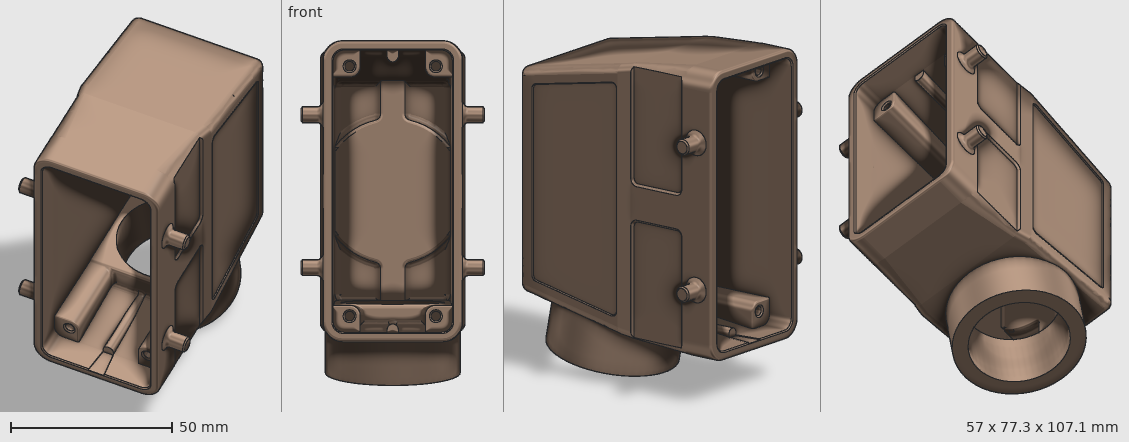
import cadquery as cq
import math


BEND_Y = 10.9
WINDOW_END_Y = 32.15
FLARE_END_Y = 36.5
BACK_Y = 75.9
ENTRY_ANGLE = 11.0
SLOPE = math.tan(math.radians(ENTRY_ANGLE))

COLLAR_HALF_WIDTH = 21.6
BODY_HALF_WIDTH = 22.5
COLLAR_HALF_HEIGHT = 46.75
TAPER_HALF_HEIGHT = 44.5
COLLAR_RADIUS = 6.0
BODY_RADIUS = 2.75
BACK_EDGE_RADIUS = 2.6
RIM_RADIUS = 1.0

PLANE_TOLERANCE = 0.1

MOUTH_HALF_WIDTH = 18.5
FLOOR_HALF_WIDTH = 17.9
MOUTH_HALF_HEIGHT = 43.8
CAVITY_BEND_Y = 9.0
CAVITY_BEND_HALF_HEIGHT = 41.7
CAVITY_CORNER_RADIUS = 3.3
CAVITY_REAR_RADIUS = 2.0
MOUTH_CHAMFER = 0.4
FLOOR_Y = 73.0
FLOOR_FILLET = 1.8

PLATEAU_HEIGHT = 3.0
PLATEAU_RADIUS = 22.7
PLATEAU_NECK_HALF_WIDTH = 3.8
PLATEAU_NECK_RADIUS = 2.0
PLATEAU_EDGE_RADIUS = 1.0
PLATEAU_SIDE_FILLET = 1.1
PLATEAU_SIDE_HALF_LENGTH = 13.6

LEDGE_Y = 34.0
LEDGE_FRONT_Z = -35.2
LEDGE_REAR_Z = -33.8
LEDGE_FILLET = 1.3
LEDGE_FOOT_FILLET = 1.5

POST_Y = 9.0
POST_INNER_X = 10.1
POST_INNER_Z = 35.5
POST_RADIUS = 3.0
POST_EDGE_RADIUS = 0.6
SCREW_X = 13.4
SCREW_Z = 38.8
SCREW_DIAMETER = 3.0
SCREW_COUNTERSINK_DIAMETER = 4.0
SCREW_DEPTH = 12.0
RIB_Y = 9.0
RIB_RADIUS = 1.75
TOP_RIB_CENTRE_Z = 41.9
BOTTOM_RIB_CENTRE_Z = -43.0

NOTCH_MOUTH_HALF_WIDTH = 2.7
NOTCH_DEPTH = 0.3

ENTRY_DIAMETER = 42.0
ENTRY_BORE_DIAMETER = 32.0
ENTRY_END_Y = 56.7
ENTRY_END_Z = -56.36
ENTRY_LENGTH = 20.0
ENTRY_BORE_LENGTH = 26.0

PIN_TIP_X = 28.5
PIN_Y = 6.2
PIN_Z = 23.75
PIN_RADIUS = 2.5
PIN_SHOULDER_X = 23.45
PIN_CONE_X = 22.2
PIN_CONE_RADIUS = 3.2
PIN_FOOT_RADIUS = 4.1
PIN_CHAMFER = 0.5
PIN_ROOT_X = 20.0

WINDOW_FRONT_Y = 11.8
WINDOW_LOW_Z = 5.4
WINDOW_HIGH_Z = 43.9
WINDOW_DEPTH = 0.8
WINDOW_BEVEL = 0.76
WINDOW_RADIUS = 2.4
PANEL_FRONT_Y = 37.1
PANEL_BACK_Y = 70.75
PANEL_MARGIN = 5.4
PANEL_DEPTH = 0.4
PANEL_BEVEL = 0.35
PANEL_RADIUS = 1.8


def rear_half_height(y):
    """Outer half height of the sloped rear body."""
    return TAPER_HALF_HEIGHT - (y - WINDOW_END_Y) * SLOPE


def cavity_half_width(y):
    """Half width of the cavity behind its own bend, narrowing slightly towards the floor."""
    depth_share = (y - CAVITY_BEND_Y) / (FLOOR_Y - CAVITY_BEND_Y)
    return MOUTH_HALF_WIDTH - (MOUTH_HALF_WIDTH - FLOOR_HALF_WIDTH) * depth_share


def section_loft(stations):
    """Straight-sided loft through rounded rectangles (y, half width, half height, radius)."""
    sketches = []
    for y, half_width, half_height, radius in stations:
        section = cq.Sketch().rect(2 * half_width, 2 * half_height).vertices().fillet(radius)
        sketches.append(section.moved(cq.Location(cq.Vector(0, 0, -y))))
    return cq.Workplane("XZ").placeSketch(*sketches).loft(ruled=True)


def make_shell():
    shell = section_loft([
        (0, COLLAR_HALF_WIDTH, COLLAR_HALF_HEIGHT, COLLAR_RADIUS),
        (BEND_Y, COLLAR_HALF_WIDTH, COLLAR_HALF_HEIGHT, COLLAR_RADIUS),
        (WINDOW_END_Y, COLLAR_HALF_WIDTH, TAPER_HALF_HEIGHT, BODY_RADIUS),
        (FLARE_END_Y, BODY_HALF_WIDTH, rear_half_height(FLARE_END_Y), BODY_RADIUS),
        (BACK_Y, BODY_HALF_WIDTH, rear_half_height(BACK_Y), BODY_RADIUS),
    ])
    shell = shell.faces(">Y").edges().fillet(BACK_EDGE_RADIUS)
    return shell.faces("<Y").edges().fillet(RIM_RADIUS)


def make_plateau():
    """Disc with a neck towards each end wall, standing on the cavity floor."""
    top_y = FLOOR_Y - PLATEAU_HEIGHT
    disc = cq.Workplane("XZ", origin=(0, top_y, 0)).circle(PLATEAU_RADIUS).extrude(-2 * PLATEAU_HEIGHT)
    neck = (
        cq.Workplane("XZ", origin=(0, top_y, 0))
        .rect(2 * PLATEAU_NECK_HALF_WIDTH, 2 * COLLAR_HALF_HEIGHT)
        .extrude(-2 * PLATEAU_HEIGHT)
    )
    plateau = disc.union(neck)
    plateau = plateau.edges(cq.selectors.BoxSelector(
        (-2 * PLATEAU_NECK_HALF_WIDTH, 0, -PLATEAU_RADIUS - 1),
        (2 * PLATEAU_NECK_HALF_WIDTH, 2 * BACK_Y, PLATEAU_RADIUS + 1),
    )).edges("|Y").fillet(PLATEAU_NECK_RADIUS)
    plateau = plateau.faces("<Y").edges().fillet(PLATEAU_EDGE_RADIUS)
    slab = (
        cq.Workplane("XZ", origin=(0, FLOOR_Y, 0))
        .rect(4 * COLLAR_HALF_WIDTH, 2 * COLLAR_HALF_HEIGHT)
        .extrude(-PLATEAU_HEIGHT)
    )
    foot_edges = cq.selectors.BoxSelector(
        (-PLATEAU_RADIUS - 1, FLOOR_Y - PLANE_TOLERANCE, -COLLAR_HALF_HEIGHT + 1),
        (PLATEAU_RADIUS + 1, FLOOR_Y + PLANE_TOLERANCE, COLLAR_HALF_HEIGHT - 1),
        boundingbox=False,
    )
    return plateau.union(slab).edges(foot_edges).fillet(FLOOR_FILLET)


def make_side_fillet():
    """Hollow fillet strip between the plateau top and the +X wall of the cavity."""
    top_y = FLOOR_Y - PLATEAU_HEIGHT
    wall_x = cavity_half_width(top_y)
    radius = PLATEAU_SIDE_FILLET
    arc_offset = radius * (1 - math.sqrt(0.5))
    return (
        cq.Workplane("XY")
        .moveTo(wall_x - radius, top_y)
        .threePointArc((wall_x - arc_offset, top_y - arc_offset), (wall_x, top_y - radius))
        .lineTo(COLLAR_HALF_WIDTH, top_y - radius)
        .lineTo(COLLAR_HALF_WIDTH, top_y)
        .close()
        .extrude(PLATEAU_SIDE_HALF_LENGTH, both=True)
    )


def make_ledge():
    """Step across the bottom of the cavity, its top rising slightly towards the back."""
    ledge = (
        cq.Workplane("YZ")
        .moveTo(LEDGE_Y, -COLLAR_HALF_HEIGHT)
        .lineTo(LEDGE_Y, LEDGE_FRONT_Z)
        .lineTo(FLOOR_Y, LEDGE_REAR_Z)
        .lineTo(BACK_Y, LEDGE_REAR_Z)
        .lineTo(BACK_Y, -COLLAR_HALF_HEIGHT)
        .close()
        .extrude(COLLAR_HALF_WIDTH, both=True)
    )
    return ledge.edges("|X").edges("<Y").edges(">Z").fillet(LEDGE_FILLET)


def make_post(side_x, side_z):
    width = COLLAR_HALF_WIDTH - POST_INNER_X
    height = COLLAR_HALF_HEIGHT - POST_INNER_Z
    post = (
        cq.Workplane("XZ", origin=(side_x * (POST_INNER_X + width / 2), POST_Y,
                                   side_z * (POST_INNER_Z + height / 2)))
        .rect(width, height)
        .extrude(POST_Y - BACK_Y)
    )
    inner_x = "<X" if side_x > 0 else ">X"
    inner_z = "<Z" if side_z > 0 else ">Z"
    post = post.edges("|Y").edges(inner_x).edges(inner_z).fillet(POST_RADIUS)
    return post.faces("<Y").edges().fillet(POST_EDGE_RADIUS)


def make_rib(centre_z):
    height = COLLAR_HALF_HEIGHT - abs(centre_z)
    origin = cq.Workplane("XZ", origin=(0, RIB_Y, centre_z))
    rib = origin.circle(RIB_RADIUS).extrude(RIB_Y - BACK_Y)
    web_centre = math.copysign(height / 2, centre_z)
    web = origin.center(0, web_centre).rect(2 * RIB_RADIUS, height).extrude(RIB_Y - BACK_Y)
    return rib.union(web)


def make_cavity():
    """The hollow of the hood, less everything that stands inside it."""
    bend_half_width = cavity_half_width(WINDOW_END_Y)
    rear_height = CAVITY_BEND_HALF_HEIGHT - (FLOOR_Y - WINDOW_END_Y) * SLOPE
    cavity = section_loft([
        (0, MOUTH_HALF_WIDTH, MOUTH_HALF_HEIGHT, CAVITY_CORNER_RADIUS),
        (CAVITY_BEND_Y, MOUTH_HALF_WIDTH, MOUTH_HALF_HEIGHT, CAVITY_CORNER_RADIUS),
        (WINDOW_END_Y, bend_half_width, CAVITY_BEND_HALF_HEIGHT, CAVITY_REAR_RADIUS),
        (FLOOR_Y, FLOOR_HALF_WIDTH, rear_height, CAVITY_REAR_RADIUS),
    ])
    cavity = cavity.cut(make_ledge())
    cavity = cavity.faces(">Y").edges().fillet(FLOOR_FILLET)
    cavity = cavity.cut(make_plateau())
    cavity = cavity.cut(make_rib(TOP_RIB_CENTRE_Z)).cut(make_rib(BOTTOM_RIB_CENTRE_Z))
    for side_z in (-1, 1):
        for side_x in (-1, 1):
            cavity = cavity.cut(make_post(side_x, side_z))
    ledge_foot = cq.selectors.BoxSelector(
        (-COLLAR_HALF_WIDTH, LEDGE_Y - PLANE_TOLERANCE, -COLLAR_HALF_HEIGHT),
        (COLLAR_HALF_WIDTH, LEDGE_Y + PLANE_TOLERANCE, LEDGE_FRONT_Z - LEDGE_FILLET - PLANE_TOLERANCE),
    )
    cavity = cavity.edges(ledge_foot).fillet(LEDGE_FOOT_FILLET)
    side_fillet = make_side_fillet()
    return cavity.cut(side_fillet).cut(side_fillet.mirror("YZ"))


def make_mouth_chamfer():
    outer = MOUTH_CHAMFER
    return section_loft([
        (0, MOUTH_HALF_WIDTH + outer, MOUTH_HALF_HEIGHT + outer, CAVITY_CORNER_RADIUS + outer),
        (outer, MOUTH_HALF_WIDTH, MOUTH_HALF_HEIGHT, CAVITY_CORNER_RADIUS),
    ])


def make_notch():
    """Shallow recess in the lower wall that widens from the rib to the mouth."""
    return (
        cq.Workplane("XY", origin=(0, 0, -MOUTH_HALF_HEIGHT - NOTCH_DEPTH))
        .moveTo(-NOTCH_MOUTH_HALF_WIDTH, 0)
        .lineTo(NOTCH_MOUTH_HALF_WIDTH, 0)
        .lineTo(RIB_RADIUS, RIB_Y)
        .lineTo(-RIB_RADIUS, RIB_Y)
        .close()
        .extrude(2 * NOTCH_DEPTH)
    )


def make_screw_hole(x, z):
    front = cq.Workplane("XZ", origin=(x, POST_Y, z))
    hole = front.circle(SCREW_DIAMETER / 2).extrude(-SCREW_DEPTH)
    lead_in = (SCREW_COUNTERSINK_DIAMETER - SCREW_DIAMETER) / 2
    cone = front.circle(SCREW_COUNTERSINK_DIAMETER / 2).extrude(-lead_in, taper=45)
    return hole.union(cone)


def entry_cylinder(diameter, length):
    tilt = math.radians(ENTRY_ANGLE)
    end = cq.Plane(
        origin=(0, ENTRY_END_Y, ENTRY_END_Z),
        xDir=(1, 0, 0),
        normal=(0, -math.sin(tilt), math.cos(tilt)),
    )
    return cq.Workplane(end).circle(diameter / 2).extrude(length)


def make_pin(side_x, z):
    """Round pin with a chamfered tip, curving into a conical foot, turned about its own axis."""
    pin = (
        cq.Workplane("XY")
        .moveTo(PIN_TIP_X, 0)
        .lineTo(PIN_TIP_X, PIN_RADIUS - PIN_CHAMFER)
        .lineTo(PIN_TIP_X - PIN_CHAMFER, PIN_RADIUS)
        .lineTo(PIN_SHOULDER_X, PIN_RADIUS)
        .tangentArcPoint((PIN_CONE_X, PIN_CONE_RADIUS), relative=False)
        .lineTo(COLLAR_HALF_WIDTH, PIN_FOOT_RADIUS)
        .lineTo(PIN_ROOT_X, PIN_FOOT_RADIUS)
        .lineTo(PIN_ROOT_X, 0)
        .close()
        .revolve(360, (0, 0, 0), (1, 0, 0))
    )
    if side_x < 0:
        pin = pin.mirror("YZ")
    return pin.translate((0, PIN_Y, z))


def make_window():
    """Recess on the +X side, upper half, with bevelled walls and two rounded corners at its foot."""
    window = (
        cq.Workplane("YZ", origin=(COLLAR_HALF_WIDTH - WINDOW_DEPTH, 0, 0))
        .moveTo(WINDOW_FRONT_Y, WINDOW_HIGH_Z)
        .lineTo(WINDOW_FRONT_Y, WINDOW_LOW_Z)
        .lineTo(WINDOW_END_Y, WINDOW_LOW_Z)
        .lineTo(WINDOW_END_Y, WINDOW_HIGH_Z)
        .close()
        .extrude(WINDOW_DEPTH)
    )
    window = window.edges("|X").edges("<Z").fillet(WINDOW_RADIUS)
    return window.faces("<X").edges("not >Z").chamfer(WINDOW_BEVEL)


def make_panel():
    """Shallow recess on the +X side of the rear body, parallel to the sloped roof."""
    front_z = rear_half_height(PANEL_FRONT_Y) - PANEL_MARGIN
    back_z = rear_half_height(PANEL_BACK_Y) - PANEL_MARGIN
    panel = (
        cq.Workplane("YZ", origin=(BODY_HALF_WIDTH - PANEL_DEPTH, 0, 0))
        .moveTo(PANEL_FRONT_Y, front_z)
        .lineTo(PANEL_BACK_Y, back_z)
        .lineTo(PANEL_BACK_Y, -back_z)
        .lineTo(PANEL_FRONT_Y, -front_z)
        .close()
        .extrude(PANEL_DEPTH)
    )
    panel = panel.edges("|X").fillet(PANEL_RADIUS)
    return panel.faces("<X").edges().chamfer(PANEL_BEVEL)


def make_side_recesses():
    window = make_window()
    right_side = make_panel().add(window).add(window.mirror("XY")).combine()
    return right_side.add(right_side.mirror("YZ")).combine()


hood = make_shell().union(entry_cylinder(ENTRY_DIAMETER, ENTRY_LENGTH))
hood = hood.cut(make_side_recesses())
for pin_side in (-1, 1):
    for pin_z in (-PIN_Z, PIN_Z):
        hood = hood.union(make_pin(pin_side, pin_z))
hood = hood.cut(make_cavity()).cut(make_mouth_chamfer()).cut(make_notch())
hood = hood.cut(entry_cylinder(ENTRY_BORE_DIAMETER, ENTRY_BORE_LENGTH))
for screw_x in (-SCREW_X, SCREW_X):
    for screw_z in (-SCREW_Z, SCREW_Z):
        hood = hood.cut(make_screw_hole(screw_x, screw_z))

result = hood